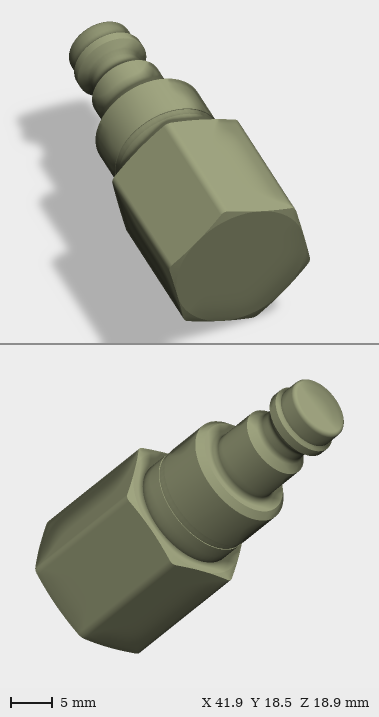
import cadquery as cq
import math

TIP_END = 2.5
COLLAR_START = 2.95
COLLAR_END = 4.05
STEM_START = 8.2
BODY_START = 14.0
GROOVE_START = 20.5
GROOVE_END = 21.5
HEX_START = 24.45
PART_END = 41.9

TIP_DIAMETER = 8.1
COLLAR_DIAMETER = 9.0
NECK_DIAMETER = 6.7
STEM_DIAMETER = COLLAR_DIAMETER
BODY_DIAMETER = 14.0
GROOVE_DIAMETER = 13.8

TIP_ROUND = 0.5
NECK_FLANK_ANGLE = 45.0
NECK_FILLET = 0.85
STEM_FILLET = 0.5
BODY_CHAMFER = 0.8

HEX_ACROSS_FLATS = 17.0
HEX_ACROSS_CORNERS = 2 * HEX_ACROSS_FLATS / math.sqrt(3)
HEX_CORNER_ROUND = 1.0
HEX_ROLL = 12.05
HEX_CHAMFER_ANGLE = 15.0


def neck_corner_points():
    """Axial positions where the unrounded neck flanks would meet the neck."""
    flank_drop = (COLLAR_DIAMETER - NECK_DIAMETER) / 2
    flank_length = flank_drop / math.tan(math.radians(NECK_FLANK_ANGLE))
    return COLLAR_END + flank_length, STEM_START - flank_length


def turned_section():
    """Nipple and round body, revolved about X, ending at the hexagon face."""
    tip_radius = TIP_DIAMETER / 2
    collar_radius = COLLAR_DIAMETER / 2
    neck_radius = NECK_DIAMETER / 2
    stem_radius = STEM_DIAMETER / 2
    body_radius = BODY_DIAMETER / 2
    groove_radius = GROOVE_DIAMETER / 2

    neck_start, neck_end = neck_corner_points()
    flank_angle = math.radians(NECK_FLANK_ANGLE)
    neck_tangent = NECK_FILLET * math.tan(flank_angle / 2)
    flank_offset = neck_tangent * math.cos(flank_angle)
    flank_radius = neck_radius + neck_tangent * math.sin(flank_angle)

    profile = (
        cq.Workplane("XY")
        .moveTo(0, 0)
        .lineTo(0, tip_radius - TIP_ROUND)
        .radiusArc((TIP_ROUND, tip_radius), TIP_ROUND)
        .lineTo(TIP_END, tip_radius)
        .lineTo(COLLAR_START, collar_radius)
        .lineTo(COLLAR_END, collar_radius)
        .lineTo(neck_start - flank_offset, flank_radius)
        .radiusArc((neck_start + neck_tangent, neck_radius), -NECK_FILLET)
        .lineTo(neck_end - neck_tangent, neck_radius)
        .radiusArc((neck_end + flank_offset, flank_radius), -NECK_FILLET)
        .lineTo(STEM_START, stem_radius)
        .lineTo(BODY_START - STEM_FILLET, stem_radius)
        .radiusArc((BODY_START, stem_radius + STEM_FILLET), -STEM_FILLET)
        .lineTo(BODY_START, body_radius - BODY_CHAMFER)
        .lineTo(BODY_START + BODY_CHAMFER, body_radius)
        .lineTo(GROOVE_START, body_radius)
        .lineTo(GROOVE_START, groove_radius)
        .lineTo(GROOVE_END, groove_radius)
        .lineTo(GROOVE_END, body_radius)
        .lineTo(HEX_START, body_radius)
        .lineTo(HEX_START, 0)
        .close()
    )
    return profile.revolve(360, (0, 0, 0), (1, 0, 0))


def hex_prism():
    """Hexagonal bar with rounded corners, rolled about X."""
    bar = (
        cq.Workplane("YZ")
        .workplane(offset=HEX_START)
        .polygon(6, HEX_ACROSS_CORNERS)
        .extrude(PART_END - HEX_START)
        .edges("|X")
        .fillet(HEX_CORNER_ROUND)
    )
    return bar.rotate((0, 0, 0), (1, 0, 0), 90 + HEX_ROLL)


def hex_chamfer_envelope():
    """Solid of revolution whose shallow cones chamfer both ends of the hexagon."""
    face_radius = HEX_ACROSS_FLATS / 2
    rim_radius = HEX_ACROSS_CORNERS / 2
    depth = (rim_radius - face_radius) * math.tan(math.radians(HEX_CHAMFER_ANGLE))
    profile = (
        cq.Workplane("XY")
        .moveTo(HEX_START, 0)
        .lineTo(HEX_START, face_radius)
        .lineTo(HEX_START + depth, rim_radius)
        .lineTo(PART_END - depth, rim_radius)
        .lineTo(PART_END, face_radius)
        .lineTo(PART_END, 0)
        .close()
    )
    return profile.revolve(360, (0, 0, 0), (1, 0, 0))


hexagon = hex_prism().intersect(hex_chamfer_envelope())
result = turned_section().union(hexagon)